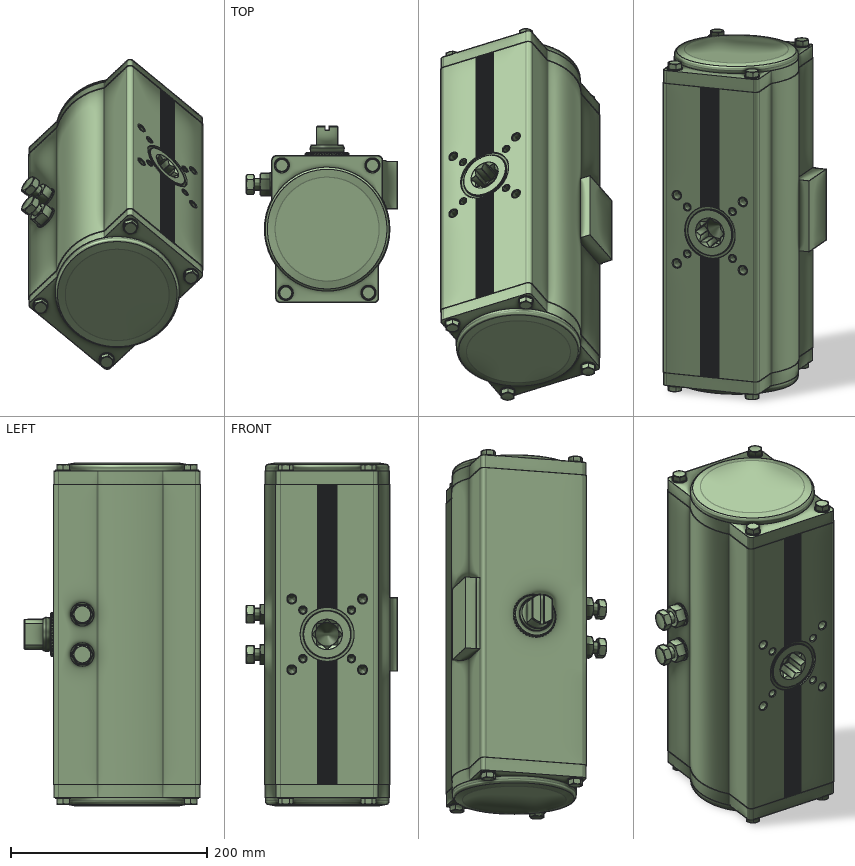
import cadquery as cq
import math


half_depth = 75.0
back_half_width = 56.5
front_half_width = 52.5
housing_radius = 64.0
housing_half_length = 153.0
corner_radius = 5.0
valley_radius = 2.0

serration_pitch = 1.0
serration_count = 20
serration_depth = 0.5

cap_inset = 0.5
cap_valley_radius = 1.0
cap_plate_thickness = 13.5
cap_top = 174.75
dome_radius = 63.2
dome_shoulder_height = 3.0
dome_edge_radius = 61.0
dome_edge_drop = 1.5
dome_flat_radius = 53.0
bolt_across_flats = 13.0
bolt_washer_diameter = 15.4
bolt_washer_thickness = 1.0
bolt_head_height = 6.7
bolt_chamfer_diameter = 12.3
bolt_y = 65.0
back_bolt_x = 46.2
front_bolt_x = 42.2

small_hole = {"core": 6.65, "sink": 8.5, "circle": 70.0, "depth": 12.0}
large_hole = {"core": 8.38, "sink": 10.11, "circle": 102.0, "depth": 15.0}
drill_point_angle = 118.0

spigot_diameter = 55.0
spigot_depth = 2.0
journal_diameter = 49.0
journal_back = 60.0
journal_chamfer = 0.6
neck_diameter = 33.0
stub_diameter = 31.0
stub_flats = 22.0
stub_end = 105.0
stub_chamfer = 1.0
collar_front = 78.5
collar_rim = 82.5
collar_back = 85.5
collar_rim_diameter = 35.0
collar_front_diameter = 34.0
collar_back_diameter = 32.5
slot_width = 4.0
slot_depth = 4.0
socket_flats = 22.0
socket_depth = 24.0
socket_drill_diameter = 24.0
socket_entry_diameter = 31.0
socket_entry_depth = 2.0

ring_diameter = 45.0
ring_thickness = 3.0
ring_chamfer = 1.5
ring_tooth_count = 40
ring_notch_diameter = 2.0

hex_chamfer_angle = 30.0

fitting_y = 45.5
fitting_z = 20.5
washer_diameter = 24.0
washer_thickness = 1.5
nut_across_flats = 20.0
nut_end_x = -68.3
neck_bar_diameter = 12.3
head_across_flats = 18.0
head_chamfer_diameter = 17.0
head_start_x = -74.2
head_end_x = -82.5

block_x = 71.5
block_front_y = 20.5
block_back_y = 69.0
block_half_height = 37.5
block_lip_x = 60.0
block_lip_back_y = 70.0


def body_outline_prism(length, inset, blend_radius):
    """Cylinder with a wide block behind it and a narrower one in front, from Z = 0 up.

    The outline is shrunk by the inset, and the flat sides blend into the cylinder.
    """
    radius = housing_radius - inset
    depth = half_depth - inset
    prism = cq.Workplane("XY").circle(radius).extrude(length)
    valleys = []
    for block_half_width, side in ((back_half_width, 1), (front_half_width, -1)):
        half_width = block_half_width - inset
        block = (
            cq.Workplane("XY")
            .center(0, side * depth / 2)
            .rect(2 * half_width, depth)
            .extrude(length)
            .edges("|Z and " + (">Y" if side > 0 else "<Y"))
            .fillet(corner_radius - inset)
        )
        prism = prism.union(block)
        valley_y = side * math.sqrt(radius**2 - half_width**2)
        valleys += [(-half_width, valley_y, length / 2), (half_width, valley_y, length / 2)]
    for valley in valleys:
        prism = prism.edges(cq.selectors.NearestToPointSelector(valley)).fillet(blend_radius)
    return prism


def y_cylinder(diameter, start, end):
    return cq.Workplane("XZ", origin=(0, start, 0)).circle(diameter / 2).extrude(start - end)


def y_revolve(points):
    """Turns (radius, Y) points about the Y axis."""
    return cq.Workplane("XY").polyline(points).close().revolve(360, (0, 0, 0), (0, 1, 0))


def drilled_hole(core, sink, circle, depth):
    """Countersunk blind hole with a drill point, four on a bolt circle."""
    core_radius = core / 2
    sink_radius = sink / 2
    point_length = core_radius / math.tan(math.radians(drill_point_angle / 2))
    hole = y_revolve([
        (0, -half_depth),
        (sink_radius, -half_depth),
        (core_radius, -half_depth + sink_radius - core_radius),
        (core_radius, -half_depth + depth),
        (0, -half_depth + depth + point_length),
    ])
    offset = circle / 2 / math.sqrt(2)
    holes = cq.Workplane("XY")
    for x in (-offset, offset):
        for z in (-offset, offset):
            holes = holes.add(hole.translate((x, 0, z)))
    return holes.combine()


def serrations():
    """Side-by-side V grooves along the full height of the front face."""
    half_strip = serration_count * serration_pitch / 2
    points = [(-half_strip, -half_depth)]
    for i in range(serration_count):
        left = -half_strip + i * serration_pitch
        points.append((left + serration_pitch / 2, -half_depth + serration_depth))
        points.append((left + serration_pitch, -half_depth))
    outside = -half_depth - serration_depth
    points += [(half_strip, outside), (-half_strip, outside)]
    return (
        cq.Workplane("XY", origin=(0, 0, -housing_half_length))
        .polyline(points)
        .close()
        .extrude(2 * housing_half_length)
    )


def make_housing():
    length = 2 * housing_half_length
    prism = body_outline_prism(length, 0, valley_radius)
    body = prism.translate((0, 0, -housing_half_length))
    body = body.cut(serrations())
    body = body.cut(y_cylinder(spigot_diameter, -half_depth, -half_depth + spigot_depth))
    body = body.cut(y_cylinder(journal_diameter, -half_depth, journal_back))
    body = body.cut(y_cylinder(neck_diameter, journal_back, half_depth))
    for hole in (small_hole, large_hole):
        body = body.cut(drilled_hole(**hole))
    return body


def chamfered_hex(across_flats, length, end_diameter):
    """Upright hexagon whose corners are turned off at both ends by a cone."""
    corner = across_flats / math.cos(math.pi / 6) / 2
    drop = (corner - end_diameter / 2) * math.tan(math.radians(hex_chamfer_angle))
    envelope = (
        cq.Workplane("XZ")
        .polyline([
            (0, 0),
            (end_diameter / 2, 0),
            (corner, drop),
            (corner, length - drop),
            (end_diameter / 2, length),
            (0, length),
        ])
        .close()
        .revolve(360, (0, 0, 0), (0, 1, 0))
    )
    return cq.Workplane("XY").polygon(6, 2 * corner).extrude(length).intersect(envelope)


def make_top_cap():
    """End plate with a shallow crowned dome and four bolt heads."""
    plate_top = housing_half_length + cap_plate_thickness
    cap = body_outline_prism(cap_plate_thickness, cap_inset, cap_valley_radius)
    cap = cap.translate((0, 0, housing_half_length))
    dome = (
        cq.Workplane("XZ")
        .moveTo(0, housing_half_length)
        .lineTo(dome_radius, housing_half_length)
        .lineTo(dome_radius, plate_top + dome_shoulder_height)
        .tangentArcPoint((dome_edge_radius, cap_top - dome_edge_drop), relative=False)
        .lineTo(dome_flat_radius, cap_top)
        .lineTo(0, cap_top)
        .close()
        .revolve(360, (0, 0, 0), (0, 1, 0))
    )
    cap = cap.union(dome)
    washer = cq.Workplane("XY").circle(bolt_washer_diameter / 2).extrude(bolt_washer_thickness)
    bolt = chamfered_hex(bolt_across_flats, bolt_head_height, bolt_chamfer_diameter).union(washer)
    for x, y in ((back_bolt_x, bolt_y), (front_bolt_x, -bolt_y)):
        for side in (-1, 1):
            cap = cap.union(bolt.translate((side * x, y, plate_top)))
    return cap


def make_shaft():
    journal = y_cylinder(journal_diameter, -half_depth, journal_back)
    shaft = journal.faces("<Y").chamfer(journal_chamfer)
    shaft = shaft.union(y_cylinder(neck_diameter, journal_back, collar_front))
    collar = y_revolve([
        (0, collar_front),
        (collar_front_diameter / 2, collar_front),
        (collar_rim_diameter / 2, collar_rim),
        (collar_back_diameter / 2, collar_back),
        (0, collar_back),
    ])
    stub = y_cylinder(stub_diameter, collar_back, stub_end)
    flats = cq.Workplane("XY").box(stub_flats, 4 * half_depth, stub_diameter)
    stub = stub.intersect(flats).faces(">Y").chamfer(stub_chamfer)
    shaft = shaft.union(collar).union(stub)
    slot = cq.Workplane("XY").box(slot_width, 2 * slot_depth, stub_diameter).translate((0, stub_end, 0))
    return shaft.cut(slot).cut(shaft_socket())


def shaft_socket():
    """Eight-pointed socket (two crossed squares) with a flared entry and a conical drill end."""
    square = cq.Workplane("XY").box(socket_flats, socket_depth, socket_flats)
    square = square.translate((0, -half_depth + socket_depth / 2, 0))
    star = square.union(square.rotate((0, 0, 0), (0, 1, 0), 45))
    radius = socket_drill_diameter / 2
    floor = -half_depth + socket_depth
    drill = y_revolve([
        (0, -half_depth),
        (socket_entry_diameter / 2, -half_depth),
        (radius, -half_depth + socket_entry_depth),
        (radius, floor),
        (0, floor + radius / math.tan(math.radians(drill_point_angle / 2))),
    ])
    return star.union(drill)


def make_ring():
    """Flat ring with small round notches all round its rim."""
    inner = neck_diameter / 2
    outer = ring_diameter / 2
    back = half_depth + ring_thickness
    ring = y_revolve([
        (inner, half_depth),
        (outer, half_depth),
        (outer, back - ring_chamfer),
        (outer - ring_chamfer, back),
        (inner, back),
    ])
    notches = (
        cq.Workplane("XZ", origin=(0, half_depth, 0))
        .polarArray(ring_diameter / 2, 0, 360, ring_tooth_count)
        .circle(ring_notch_diameter / 2)
        .extrude(-ring_thickness)
    )
    return ring.cut(notches)


def make_fittings():
    """Two identical screwed fittings pointing to -X."""
    washer = cq.Workplane("XY").circle(washer_diameter / 2).extrude(washer_thickness)
    nut_length = -back_half_width - nut_end_x
    neck_length = nut_end_x - head_start_x
    head_length = head_start_x - head_end_x
    nut = chamfered_hex(nut_across_flats, nut_length, nut_across_flats)
    neck = cq.Workplane("XY").circle(neck_bar_diameter / 2).extrude(nut_length + neck_length)
    head = chamfered_hex(head_across_flats, head_length, head_chamfer_diameter)
    fitting = washer.union(nut).union(neck).union(head.translate((0, 0, nut_length + neck_length)))
    fitting = fitting.rotate((0, 0, 0), (0, 0, 1), 90).rotate((0, 0, 0), (0, 1, 0), -90)
    return [
        fitting.translate((-back_half_width, fitting_y, z)) for z in (-fitting_z, fitting_z)
    ]


def make_side_block(housing):
    """Block on the right side that follows the housing's surface."""
    height = 2 * block_half_height
    block = (
        cq.Workplane("XY", origin=(0, 0, -block_half_height))
        .moveTo(0, block_front_y)
        .lineTo(block_x, block_front_y)
        .lineTo(block_x, block_back_y)
        .lineTo(block_lip_x, block_back_y)
        .lineTo(block_lip_x, block_lip_back_y)
        .lineTo(0, block_lip_back_y)
        .close()
        .extrude(height)
    )
    outside = cq.Workplane("XY").box(block_x, 4 * half_depth, 2 * height)
    outside = outside.translate((back_half_width + block_x / 2, 0, 0))
    return block.intersect(outside).cut(housing)


housing = make_housing()
top_cap = make_top_cap()
bottom_cap = top_cap.mirror("XY")
shaft = make_shaft()
ring = make_ring()
fittings = make_fittings()
side_block = make_side_block(housing)

result = cq.Compound.makeCompound([
    housing.val(),
    top_cap.val(),
    bottom_cap.val(),
    shaft.val(),
    ring.val(),
    *[fitting.val() for fitting in fittings],
    side_block.val(),
])